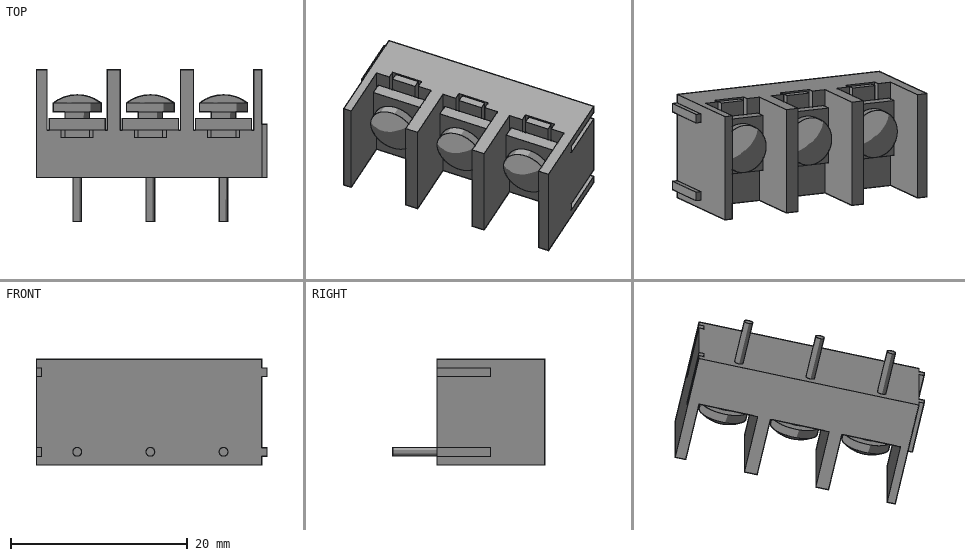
import cadquery as cq


total_length = 26.1
key_thickness = 0.6
body_length = total_length - key_thickness
body_depth = 12.21
body_height = 12.0
floor_depth = 5.38

pole_count = 3
bay_width = 6.79
divider_width = 1.5
left_wall = 1.23
pitch = bay_width + divider_width
pole_centers = [left_wall + bay_width / 2 + i * pitch for i in range(pole_count)]

key_width = 1.0
key_length = 6.05
key_edge_gap = 1.0
key_bottoms = [key_edge_gap, body_height - key_edge_gap - key_width]

pin_diameter = 1.0
pin_length = 4.99
pin_height = 1.51

screw_height = 7.0
plate_width = 6.37
plate_thickness = 1.33
neck_diameter = 2.8
neck_length = 0.73
head_diameter = 5.45
head_rim = 1.0
dome_rise = 0.95

notch_width = 3.6
notch_depth = 0.85
notch_height = 2.6
tongue_width = neck_diameter
tongue_drop = 0.18


def box(x, y, z, length, depth, height):
    """Box with its minimum corner at (x, y, z)."""
    return cq.Workplane("XY").box(length, depth, height, centered=False).translate((x, y, z))


def make_housing():
    housing = box(0, 0, 0, body_length, body_depth, body_height)
    for x in pole_centers:
        bay = box(x - bay_width / 2, floor_depth, 0, bay_width, body_depth - floor_depth, body_height)
        housing = housing.cut(bay)
    for z in key_bottoms:
        keyway = box(0, 0, z, key_thickness, key_length, key_width)
        key = box(body_length, 0, z, key_thickness, key_length, key_width)
        housing = housing.cut(keyway).union(key)
    return housing


def make_notch(x):
    """Floor notch with the room beside and above its tongue left open."""
    y = floor_depth - notch_depth
    z = body_height - notch_height
    notch = box(x - notch_width / 2, y, z, notch_width, notch_depth, notch_height)
    tongue = box(x - tongue_width / 2, y, z, tongue_width, notch_depth, notch_height - tongue_drop)
    return notch.cut(tongue)


def make_pin(x):
    pin = cq.Workplane("XZ").circle(pin_diameter / 2).extrude(pin_length)
    return pin.translate((x, 0, pin_height))


def make_screw(x):
    """Domed screw, revolved about an axis parallel to Y."""
    neck_radius = neck_diameter / 2
    head_radius = head_diameter / 2
    rim_top = neck_length + head_rim
    dome_top = rim_top + dome_rise
    dome_radius = (head_radius**2 + dome_rise**2) / (2 * dome_rise)
    mid_radius = head_radius / 2
    mid_height = dome_top - dome_radius + (dome_radius**2 - mid_radius**2) ** 0.5
    screw = (
        cq.Workplane("XY")
        .lineTo(neck_radius, 0)
        .lineTo(neck_radius, neck_length)
        .lineTo(head_radius, neck_length)
        .lineTo(head_radius, rim_top)
        .threePointArc((mid_radius, mid_height), (0, dome_top))
        .close()
        .revolve(360, (0, 0, 0), (0, 1, 0))
    )
    return screw.translate((x, floor_depth + plate_thickness, screw_height))


def make_plate(x):
    z = screw_height - plate_width / 2
    return box(x - plate_width / 2, floor_depth, z, plate_width, plate_thickness, plate_width)


result = make_housing()
for pole_x in pole_centers:
    result = result.cut(make_notch(pole_x))
    result = result.union(make_plate(pole_x))
    result = result.union(make_screw(pole_x))
    result = result.union(make_pin(pole_x))